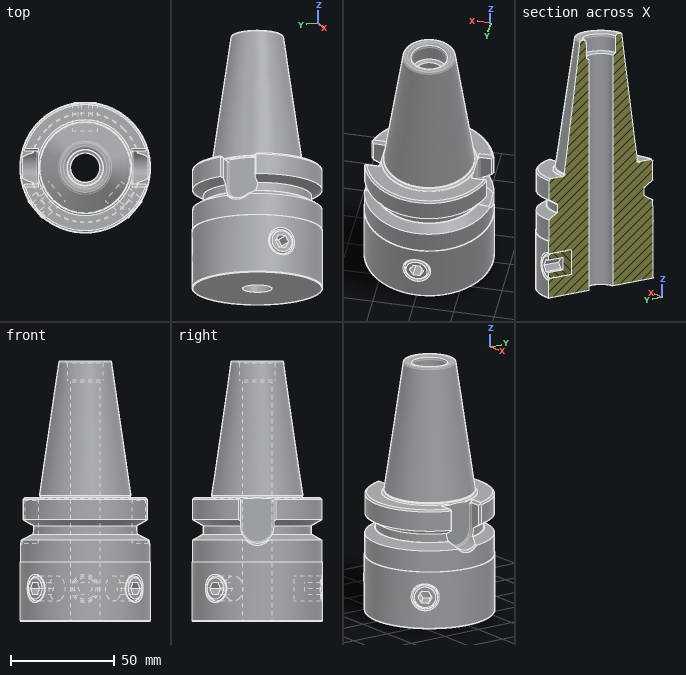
import cadquery as cq
import math

TOTAL_HEIGHT = 126.4
COLLAR_HEIGHT = 28.8
LOWER_FLANGE_TOP = 39.5
NECK_BOTTOM = 42.2
NECK_TOP = 46.4
UPPER_FLANGE_BOTTOM = 49.4
FLANGE_FACE = 60.0
GAUGE_HEIGHT = 61.0

COLLAR_RADIUS = 31.7
COLLAR_CHAMFER = 0.4
FLANGE_RADIUS = 31.5
FLANGE_CHAMFER = 0.9
NECK_RADIUS = 26.3
LEDGE_RADIUS = 26.7
GAUGE_RADIUS = 22.2
TAPER_RATIO = 7 / 24
TIP_FILLET = 0.9

RELIEF_INNER_RADIUS = 21.9
RELIEF_OUTER_RADIUS = 23.3
RELIEF_TOP = 60.4
RELIEF_BOTTOM = 59.5

BORE_RADIUS = 7.1
BORE_TOP_DEPTH = 10.4
PILOT_RADIUS = 8.6
PILOT_START_DEPTH = 2.0
PILOT_END_DEPTH = 9.4
MOUTH_RADIUS = 10.5
MOUTH_THROAT_RADIUS = 8.8
MOUTH_ROUND = 1.9

SLOT_WIDTH = 16.0
SLOT_BOTTOM = 37.9
SLOT_FLOOR_X = 22.8
SLOT_FLOOR_FILLET = 0.8
SLOT_CHAMFER = 1.0
SLOT_FACE_CHAMFER = 1.3

SCREW_ANGLES = (90, 220, 320)
SCREW_HEIGHT = 16.0
SCREW_RADIUS = 6.1
SCREW_LENGTH = 13.9
SCREW_CHAMFER = 0.9
SCREW_FACE_RADIUS = COLLAR_RADIUS
HEX_ACROSS_FLATS = 6.0
HEX_DEPTH = 8.8
HOLE_CHAMFER = 0.8


def holder_blank():
    """Revolve the flange, neck, taper and bore in one profile."""
    tip_radius = GAUGE_RADIUS - (TOTAL_HEIGHT - GAUGE_HEIGHT) * TAPER_RATIO / 2
    mouth_width = MOUTH_RADIUS - MOUTH_THROAT_RADIUS
    mouth_depth = MOUTH_ROUND - math.sqrt(MOUTH_ROUND**2 - mouth_width**2)
    profile = [
        (BORE_RADIUS, 0),
        (COLLAR_RADIUS - COLLAR_CHAMFER, 0),
        (COLLAR_RADIUS, COLLAR_CHAMFER),
        (COLLAR_RADIUS, COLLAR_HEIGHT),
        (FLANGE_RADIUS, COLLAR_HEIGHT),
        (FLANGE_RADIUS, LOWER_FLANGE_TOP),
        (LEDGE_RADIUS, NECK_BOTTOM),
        (NECK_RADIUS, NECK_BOTTOM),
        (NECK_RADIUS, NECK_TOP),
        (FLANGE_RADIUS, UPPER_FLANGE_BOTTOM),
        (FLANGE_RADIUS, FLANGE_FACE - FLANGE_CHAMFER),
        (FLANGE_RADIUS - FLANGE_CHAMFER, FLANGE_FACE),
        (RELIEF_OUTER_RADIUS, FLANGE_FACE),
        (RELIEF_OUTER_RADIUS, RELIEF_BOTTOM),
        (RELIEF_INNER_RADIUS, RELIEF_TOP),
        (RELIEF_INNER_RADIUS, GAUGE_HEIGHT),
        (GAUGE_RADIUS, GAUGE_HEIGHT),
        (tip_radius, TOTAL_HEIGHT),
        (MOUTH_RADIUS, TOTAL_HEIGHT),
    ]
    blank = (
        cq.Workplane("XZ")
        .polyline(profile)
        .radiusArc((MOUTH_THROAT_RADIUS, TOTAL_HEIGHT - mouth_depth), -MOUTH_ROUND)
        .lineTo(PILOT_RADIUS, TOTAL_HEIGHT - PILOT_START_DEPTH)
        .lineTo(PILOT_RADIUS, TOTAL_HEIGHT - PILOT_END_DEPTH)
        .lineTo(BORE_RADIUS, TOTAL_HEIGHT - BORE_TOP_DEPTH)
        .close()
        .revolve(360, (0, 0, 0), (0, 1, 0))
    )
    tip_rim = cq.selectors.RadiusNthSelector(-1)
    return blank.faces(">Z").edges(tip_rim).fillet(TIP_FILLET)


def slot_outline(x, margin):
    """U-shaped outline on the plane at x, wider than the slot by margin on each side."""
    half_width = SLOT_WIDTH / 2 + margin
    arc_height = SLOT_BOTTOM + SLOT_WIDTH / 2
    return (
        cq.Workplane("YZ", origin=(x, 0, 0))
        .moveTo(-half_width, GAUGE_HEIGHT)
        .lineTo(-half_width, arc_height)
        .threePointArc((0, arc_height - half_width), (half_width, arc_height))
        .lineTo(half_width, GAUGE_HEIGHT)
        .close()
    )


def slot_face_chamfer():
    """Cutter that bevels the slot where it opens in the flange face, across its floor fillets."""
    top_half_width = SLOT_WIDTH / 2 + SLOT_FACE_CHAMFER
    bevel = SLOT_FACE_CHAMFER + SLOT_FLOOR_FILLET
    return (
        cq.Workplane("YZ", origin=(SLOT_FLOOR_X, 0, 0))
        .moveTo(-top_half_width, FLANGE_FACE)
        .lineTo(top_half_width, FLANGE_FACE)
        .lineTo(top_half_width - bevel, FLANGE_FACE - bevel)
        .lineTo(bevel - top_half_width, FLANGE_FACE - bevel)
        .close()
        .extrude(COLLAR_RADIUS - SLOT_FLOOR_X)
    )


def slot_side_chamfer():
    """Cutter that bevels the straight edges of the slot on the rim of the upper flange."""
    half_width = SLOT_WIDTH / 2
    outer_half_width = half_width + SLOT_CHAMFER
    bevel_start = math.sqrt(FLANGE_RADIUS**2 - outer_half_width**2)
    return (
        cq.Workplane("XY", origin=(0, 0, NECK_TOP))
        .moveTo(bevel_start - SLOT_CHAMFER, half_width)
        .lineTo(bevel_start, outer_half_width)
        .lineTo(COLLAR_RADIUS, outer_half_width)
        .lineTo(COLLAR_RADIUS, -outer_half_width)
        .lineTo(bevel_start, -outer_half_width)
        .lineTo(bevel_start - SLOT_CHAMFER, -half_width)
        .close()
        .extrude(FLANGE_FACE - NECK_TOP)
    )


def drive_slot():
    """Cutter for the +X slot: round-bottomed slot with filleted floor and chamfered rim."""
    slot = slot_outline(SLOT_FLOOR_X, 0).extrude(COLLAR_RADIUS - SLOT_FLOOR_X)
    slot = slot.faces("<X").edges("not >Z").fillet(SLOT_FLOOR_FILLET)
    rim = slot_outline(FLANGE_RADIUS, SLOT_CHAMFER).extrude(-SLOT_CHAMFER, taper=45)
    return slot.union(rim).union(slot_face_chamfer()).union(slot_side_chamfer())


def screw_plane(angle):
    """Workplane on the outer face of a screw, with its normal pointing away from the axis."""
    direction = (math.cos(math.radians(angle)), math.sin(math.radians(angle)), 0)
    centre = (SCREW_FACE_RADIUS * direction[0], SCREW_FACE_RADIUS * direction[1], SCREW_HEIGHT)
    return cq.Workplane(cq.Plane(origin=centre, xDir=(-direction[1], direction[0], 0), normal=direction))


def cut_screw_hole(body, angle):
    """Cut a blind screw hole whose chamfered edge follows the round collar."""
    plane = screw_plane(angle)
    body = body.cut(plane.circle(SCREW_RADIUS).extrude(-SCREW_LENGTH))
    rim = cq.selectors.NearestToPointSelector(plane.plane.origin.toTuple())
    return body.edges(rim).chamfer(HOLE_CHAMFER)


def set_screw(angle):
    """Set screw with a chamfered outer end and a hexagon socket."""
    screw = screw_plane(angle).circle(SCREW_RADIUS).extrude(-SCREW_LENGTH)
    outer_end = cq.selectors.NearestToPointSelector(screw_plane(angle).plane.origin.toTuple())
    screw = screw.faces(outer_end).chamfer(SCREW_CHAMFER)
    hex_across_corners = HEX_ACROSS_FLATS / math.cos(math.pi / 6)
    socket = screw_plane(angle).polygon(6, hex_across_corners).extrude(-HEX_DEPTH)
    return screw.cut(socket)


slot_cutter = drive_slot()
holder = holder_blank().cut(slot_cutter).cut(slot_cutter.mirror("YZ"))
set_screws = []
for screw_angle in SCREW_ANGLES:
    holder = cut_screw_hole(holder, screw_angle)
    set_screws.append(set_screw(screw_angle).val())

result = cq.Compound.makeCompound([holder.val(), *set_screws])